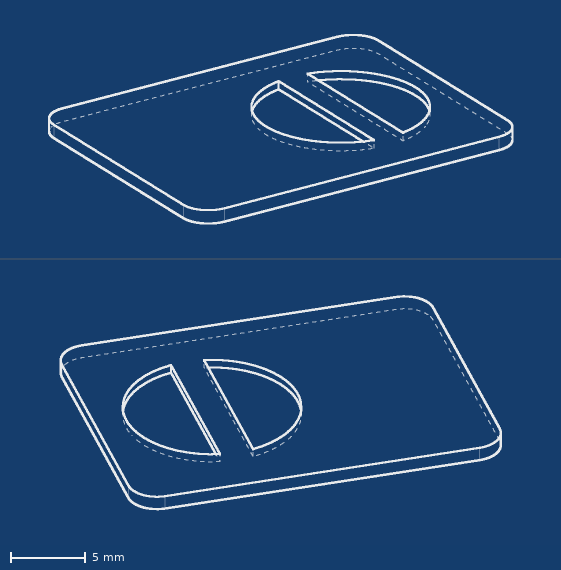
import cadquery as cq

plate_width = 20.0
plate_length = 26.0
plate_thickness = 1.0
corner_radius = 2.0

recess_radius = 6.0
recess_center_y = 4.8
recess_depth = 0.6
bar_width = 2.31


def make_plate():
    """Flat plate with rounded vertical corners, resting on Z = 0."""
    plate = cq.Workplane("XY").box(
        plate_width, plate_length, plate_thickness, centered=(True, True, False)
    )
    return plate.edges("|Z").fillet(corner_radius)


def make_split_recess():
    """Two circular segments, one on each side of the bar, to cut from the top face."""
    floor = cq.Workplane("XY", origin=(0, recess_center_y, plate_thickness - recess_depth))
    disc = floor.circle(recess_radius).extrude(recess_depth)
    bar = floor.rect(2 * recess_radius, bar_width).extrude(recess_depth)
    return disc.cut(bar)


result = make_plate().cut(make_split_recess())